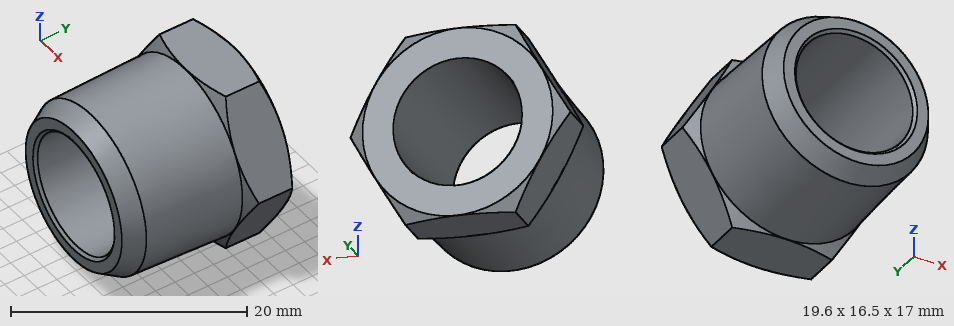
import cadquery as cq
import math

across_corners = 19.63
head_length = 5.0
head_chamfer_angle = 30.0
head_face_radius = 8.48

total_length = 16.5
shank_base_radius = head_face_radius
shank_taper = 1 / 32
tip_length = 1.8
tip_chamfer_angle = 30.0

bore_diameter = 11.5
mouth_diameter = 12.07
mouth_depth = (mouth_diameter - bore_diameter) / 2

head_end = total_length / 2
head_base = head_end - head_length
tip_end = -total_length / 2
tip_start = tip_end + tip_length


def revolve_about_y(points):
    """Revolve a closed (radius, y) profile, drawn on the +Z side, about the Y axis."""
    profile = [(y, radius) for radius, y in points]
    return cq.Workplane("YZ").polyline(profile).close().revolve(360, (0, 0, 0), (1, 0, 0))


def make_head():
    """Hexagon with flats at +Z and -Z and corners bevelled at both ends."""
    corner_radius = across_corners / 2
    bevel = (corner_radius - head_face_radius) * math.tan(math.radians(head_chamfer_angle))
    hexagon = (
        cq.Workplane("XZ", origin=(0, head_end, 0))
        .polygon(6, across_corners)
        .extrude(head_length)
    )
    envelope = revolve_about_y([
        (0, head_base),
        (head_face_radius, head_base),
        (corner_radius, head_base + bevel),
        (corner_radius, head_end - bevel),
        (head_face_radius, head_end),
        (0, head_end),
    ])
    return hexagon.intersect(envelope)


def make_shank():
    """Slightly tapered shank with a steep chamfer at its tip."""
    tip_start_radius = shank_base_radius - shank_taper * (head_base - tip_start)
    tip_end_radius = tip_start_radius - tip_length * math.tan(math.radians(tip_chamfer_angle))
    return revolve_about_y([
        (0, head_base),
        (shank_base_radius, head_base),
        (tip_start_radius, tip_start),
        (tip_end_radius, tip_end),
        (0, tip_end),
    ])


def make_bore():
    """Through bore, widened by a 45 degree chamfer at the tip."""
    bore_radius = bore_diameter / 2
    return revolve_about_y([
        (0, tip_end),
        (mouth_diameter / 2, tip_end),
        (bore_radius, tip_end + mouth_depth),
        (bore_radius, head_end),
        (0, head_end),
    ])


result = make_head().union(make_shank()).cut(make_bore())